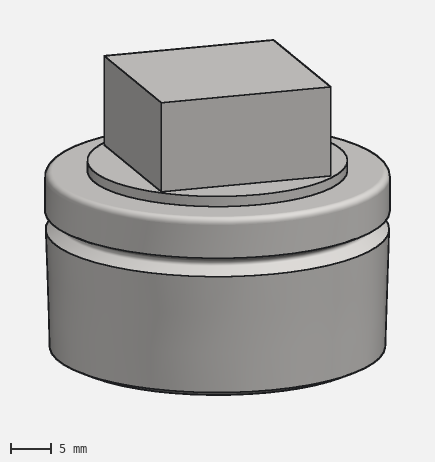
import cadquery as cq
import math


total_height = 36.0
head_width = 22.0

collar_radius = 16.0
collar_top = 24.6

flange_radius = 21.24
flange_bottom = 18.2
flange_top = 23.3
rim_round = 0.85

groove_root_radius = 19.4
groove_root_round = 0.43
upper_flank_angle = math.radians(25)
lower_flank_angle = math.radians(30)

body_top_radius = 21.14
taper_per_height = 1 / 32
end_chamfer_height = 0.85
end_face_radius = 18.9

root_center_radius = groove_root_radius + groove_root_round


def root_arc_point(angle):
    """Offset of a root arc point, as (radius, height from the arc centre),
    at an angle above the inward direction."""
    radius = root_center_radius - groove_root_round * math.cos(angle)
    return radius, groove_root_round * math.sin(angle)


quarter_turn = math.pi / 2
upper_tangent_radius, upper_tangent_rise = root_arc_point(quarter_turn - upper_flank_angle)
lower_tangent_radius, lower_tangent_rise = root_arc_point(lower_flank_angle - quarter_turn)

upper_tangent_height = flange_bottom - (flange_radius - upper_tangent_radius) * math.tan(upper_flank_angle)
root_height = upper_tangent_height - upper_tangent_rise
lower_tangent_height = root_height + lower_tangent_rise
body_top = lower_tangent_height - (body_top_radius - lower_tangent_radius) * math.tan(lower_flank_angle)

body_bottom_radius = body_top_radius - (body_top - end_chamfer_height) * taper_per_height


def make_turned_body():
    """Tapered body, groove, flange and collar as one revolved profile."""
    rim_inset = rim_round * (1 - math.sqrt(0.5))
    profile = (
        cq.Workplane("XZ")
        .lineTo(end_face_radius, 0)
        .lineTo(body_bottom_radius, end_chamfer_height)
        .lineTo(body_top_radius, body_top)
        .lineTo(lower_tangent_radius, lower_tangent_height)
        .threePointArc(
            (groove_root_radius, root_height),
            (upper_tangent_radius, upper_tangent_height),
        )
        .lineTo(flange_radius, flange_bottom)
        .lineTo(flange_radius, flange_top - rim_round)
        .threePointArc(
            (flange_radius - rim_inset, flange_top - rim_inset),
            (flange_radius - rim_round, flange_top),
        )
        .lineTo(collar_radius, flange_top)
        .lineTo(collar_radius, collar_top)
        .lineTo(0, collar_top)
        .close()
    )
    return profile.revolve(360, (0, 0, 0), (0, 1, 0))


def make_square_head():
    """Square drive head standing on the collar."""
    return (
        cq.Workplane("XY")
        .workplane(offset=collar_top)
        .rect(head_width, head_width)
        .extrude(total_height - collar_top)
    )


result = make_turned_body().union(make_square_head())